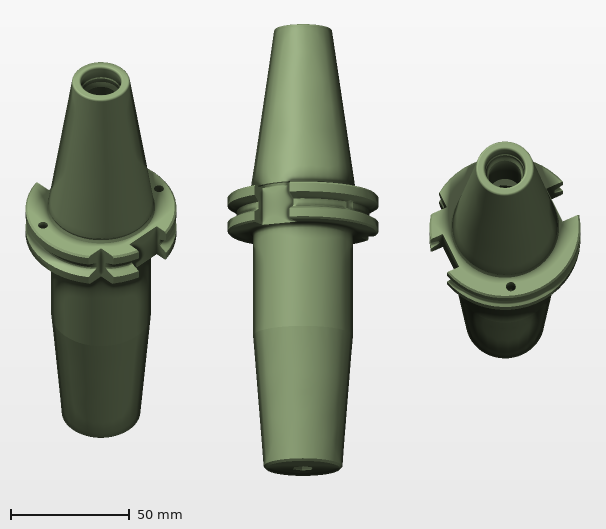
import cadquery as cq
import math

total_length = 188.4
taper_base_z = 118.9
flange_top_z = 116.8
flange_bottom_z = 101.0
body_taper_z = 56.9

shank_top_radius = 12.2
shank_top_round = 1.0
shank_base_radius = 22.2
relief_radius = 21.9
relief_wall_chamfer = 0.4
relief_root_chamfer = 1.0

flange_radius = 63.5 / 2
flange_edge_chamfer = 0.8
body_radius = 42.0 / 2
body_fillet = 1.7
body_tip_radius = 16.5
tip_chamfer = 1.0

groove_mid_z = 108.9
groove_mouth_half_width = 3.5
groove_floor_radius = 27.9
groove_flank_angle = 30.0
groove_corner_height = 0.5
groove_corner_depth = 0.4

slot_width = 16.2
left_slot_floor_x = -23.0
right_slot_floor_x = 25.0
notch_corner_x = 18.5
notch_corner_y = -18.3

coolant_circle_radius = 27.0
coolant_angle = 70.3
coolant_hole_radius = 2.0
drill_point_angle = 118.0

mouth_round = 1.0
counterbore_radius = 8.5
counterbore_depth = 5.7
step_radius = 8.1
step_floor_depth = 8.0
thread_bore_radius = 7.0
thread_bore_start = 9.8
thread_bore_depth = 32.0
hex_across_flats = 8.0

groove_flank_rise = (flange_radius - groove_floor_radius) * math.tan(math.radians(groove_flank_angle))
groove_floor_half_width = groove_mouth_half_width - groove_flank_rise


def revolve_about_z(outline):
    """Close an outline drawn in radius and height, and turn it about Z."""
    return outline.close().revolve(360, (0, 0), (0, 1))


def turned_body():
    """Revolve the shank, flange and tapered nose about Z."""
    flange_face_radius = flange_radius - flange_edge_chamfer
    groove_floor_bottom_z = groove_mid_z - groove_floor_half_width
    outline = (
        cq.Workplane("XZ")
        .lineTo(body_tip_radius - tip_chamfer, 0)
        .lineTo(body_tip_radius, tip_chamfer)
        .lineTo(body_radius, body_taper_z)
        .lineTo(body_radius, flange_bottom_z - body_fillet)
        .radiusArc((body_radius + body_fillet, flange_bottom_z), body_fillet)
        .lineTo(flange_face_radius, flange_bottom_z)
        .lineTo(flange_radius, flange_bottom_z + flange_edge_chamfer)
        .lineTo(flange_radius, groove_mid_z - groove_mouth_half_width)
        .lineTo(groove_floor_radius + groove_corner_depth, groove_floor_bottom_z - groove_corner_height)
        .lineTo(groove_floor_radius, groove_floor_bottom_z)
        .lineTo(groove_floor_radius, groove_mid_z + groove_floor_half_width)
        .lineTo(flange_radius, groove_mid_z + groove_mouth_half_width)
        .lineTo(flange_radius, flange_top_z - flange_edge_chamfer)
        .lineTo(flange_face_radius, flange_top_z)
        .lineTo(relief_radius + relief_root_chamfer, flange_top_z)
        .lineTo(relief_radius, flange_top_z + relief_root_chamfer)
        .lineTo(relief_radius, taper_base_z - relief_wall_chamfer)
        .lineTo(shank_base_radius, taper_base_z)
        .lineTo(shank_top_radius, total_length - shank_top_round)
        .radiusArc((shank_top_radius - shank_top_round, total_length), -shank_top_round)
        .lineTo(0, total_length)
    )
    return revolve_about_z(outline)


def axial_bore():
    """Rounded counterbore, small step, conical seat and thread bore, with a hexagon passing through."""
    counterbore_floor_z = total_length - counterbore_depth
    step_height = counterbore_radius - step_radius
    outline = (
        cq.Workplane("XZ")
        .moveTo(0, total_length - thread_bore_depth)
        .lineTo(thread_bore_radius, total_length - thread_bore_depth)
        .lineTo(thread_bore_radius, total_length - thread_bore_start)
        .lineTo(step_radius, total_length - step_floor_depth)
        .lineTo(step_radius, counterbore_floor_z - step_height)
        .lineTo(counterbore_radius, counterbore_floor_z)
        .lineTo(counterbore_radius, total_length - mouth_round)
        .radiusArc((counterbore_radius + mouth_round, total_length), mouth_round)
        .lineTo(0, total_length)
    )
    hex_corner_diameter = hex_across_flats / math.cos(math.pi / 6)
    hexagon = cq.Workplane("XY").polygon(6, hex_corner_diameter).extrude(total_length)
    return revolve_about_z(outline).union(hexagon.rotate((0, 0, 0), (0, 0, 1), 30))


def flange_block(x_start, x_end, y_start, y_end):
    """Block over the full flange height, used to cut its rim."""
    height = flange_top_z - flange_bottom_z
    return (
        cq.Workplane("XY", origin=(x_start, y_start, flange_bottom_z))
        .box(x_end - x_start, y_end - y_start, height, centered=False)
    )


def coolant_hole(angle):
    """Drilled blind hole from the flange top into the groove, with a conical bottom."""
    x = coolant_circle_radius * math.cos(math.radians(angle))
    y = coolant_circle_radius * math.sin(math.radians(angle))
    point_height = coolant_hole_radius / math.tan(math.radians(drill_point_angle / 2))
    cone_base_z = groove_mid_z - groove_floor_half_width
    outline = (
        cq.Workplane("XZ")
        .moveTo(0, cone_base_z - point_height)
        .lineTo(coolant_hole_radius, cone_base_z)
        .lineTo(coolant_hole_radius, flange_top_z)
        .lineTo(0, flange_top_z)
    )
    return revolve_about_z(outline).translate((x, y, 0))


result = turned_body().cut(axial_bore())

half_slot = slot_width / 2
result = result.cut(flange_block(-flange_radius, left_slot_floor_x, -half_slot, half_slot))
result = result.cut(flange_block(right_slot_floor_x, flange_radius, -half_slot, half_slot))
result = result.cut(flange_block(notch_corner_x, flange_radius, -flange_radius, notch_corner_y))

for angle in (coolant_angle, coolant_angle + 180):
    result = result.cut(coolant_hole(angle))